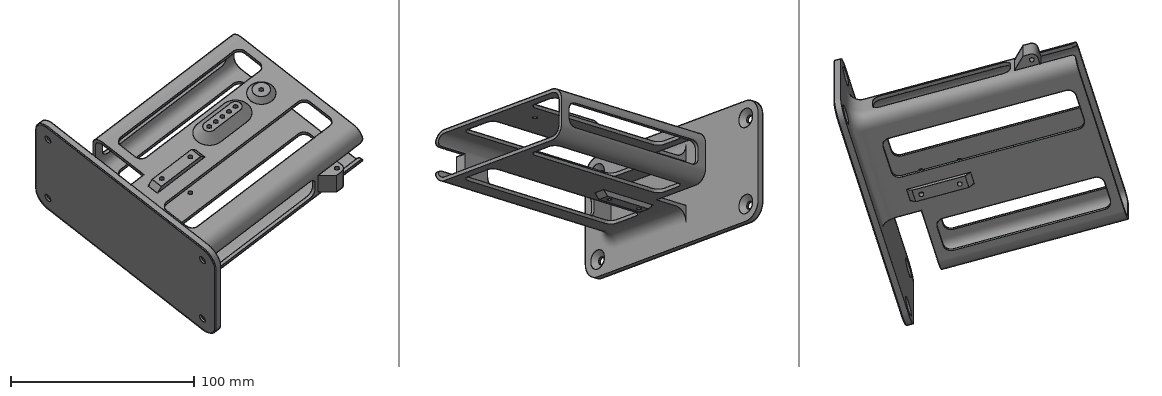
import cadquery as cq

plate_width = 140.0
plate_height = 70.0
plate_thickness = 4.0
plate_corner_radius = 10.0
plate_edge_chamfer = 0.5
plate_hole_diameter = 4.5
countersink_diameter = 11.0
countersink_angle = 100
plate_hole_spacing_x = 120.0
plate_hole_spacing_z = 50.0

sleeve_width = 102.5
sleeve_height = 29.7
sleeve_end = 132.0
sleeve_corner_radius = 7.7
wall = 2.1
root_fillet = 7.4

notch_right = -11.5
notch_end = 25.8

window_radius = 4.5
window_back = 126.4
window_margin = 5.5
left_window_left = -39.3
left_window_right = -19.3
right_window_left = 10.9
right_window_right = 35.1
right_window_front = 16.7
right_side_window_back = 95.0

gap_flare_radius = 3.0
tab_back = 111.9
tab_reach = 7.0
tab_corner_radius = 3.5
tab_flat_front = 104.5
tab_hole_diameter = 2.5

boss_x = -7.5
screw_hole_diameter = 2.5
round_boss_y = 111.9
round_boss_height = 3.1
round_boss_base_diameter = 16.0
round_boss_top_diameter = 10.1
long_boss_y = 82.0
long_boss_height = 5.3
long_boss_base_width = 17.9
long_boss_top_width = 7.1
long_boss_hole_count = 5
long_boss_hole_pitch = 5.0

rail_x = -0.5
rail_y = 39.9
rail_width = 7.1
rail_height = 3.1
rail_top_length = 30.2
rail_base_length = rail_top_length + 2 * rail_height
rail_hole_x = -0.8
rail_hole_spacing = 21.8
rail_hole_diameter = 2.5

sleeve_top = sleeve_height / 2
sleeve_right = sleeve_width / 2
straight_height = sleeve_height - 2 * sleeve_corner_radius
left_window_front = notch_end + window_margin


def box(x_min, x_max, y_min, y_max, z_min, z_max):
    size = (x_max - x_min, y_max - y_min, z_max - z_min)
    return cq.Workplane("XY").box(*size, centered=False).translate((x_min, y_min, z_min))


def rounded_bar(width, height, radius):
    """Rounded bar from the back of the plate to the end of the sleeve."""
    length = sleeve_end - plate_thickness
    bar = cq.Workplane("XY").box(width, length, height).edges("|Y").fillet(radius)
    return bar.translate((0, plate_thickness + length / 2, 0))


def make_plate():
    """Plate with a chamfered front rim and holes countersunk from behind."""
    plate = cq.Workplane("XY").box(plate_width, plate_thickness, plate_height)
    plate = plate.edges("|Y").fillet(plate_corner_radius)
    plate = plate.faces("<Y").edges().chamfer(plate_edge_chamfer)
    return (
        plate.faces(">Y").workplane(centerOption="CenterOfBoundBox")
        .rect(plate_hole_spacing_x, plate_hole_spacing_z, forConstruction=True)
        .vertices()
        .cskHole(plate_hole_diameter, countersink_diameter, countersink_angle)
        .translate((0, plate_thickness / 2, 0))
    )


def make_shell():
    """Plate and sleeve joined by an outer root fillet, hollowed and notched."""
    shell = make_plate().union(rounded_bar(sleeve_width, sleeve_height, sleeve_corner_radius))
    root_edges = cq.selectors.BoxSelector(
        (-sleeve_right - wall, plate_thickness - wall / 2, -sleeve_top - wall),
        (sleeve_right + wall, plate_thickness + wall / 2, sleeve_top + wall),
        boundingbox=True,
    )
    shell = shell.edges(root_edges).fillet(root_fillet)
    shell = shell.cut(
        rounded_bar(sleeve_width - 2 * wall, sleeve_height - 2 * wall, sleeve_corner_radius - wall)
    )
    notch = box(
        -plate_width / 2, notch_right, plate_thickness, notch_end, -plate_height / 2, plate_height / 2
    )
    return shell.cut(notch)


def vertical_window(x_min, x_max, y_min):
    """Cutter for a rounded window through the top and bottom walls."""
    cutter = box(x_min, x_max, y_min, window_back, -sleeve_height, sleeve_height)
    return cutter.edges("|Z").fillet(window_radius)


def side_window(x_centre, y_min, y_max):
    """Cutter for a window through one side wall, as tall as its flat part."""
    cutter = box(
        x_centre - 2 * wall, x_centre + 2 * wall, y_min, y_max, -straight_height / 2, straight_height / 2
    )
    return cutter.edges("|X").fillet(window_radius)


def rear_gap():
    """Cutter that opens the right wall behind the tab, flared at the sleeve end."""
    half = straight_height / 2
    flare_start = sleeve_end - gap_flare_radius
    return (
        cq.Workplane("YZ", origin=(sleeve_right - sleeve_corner_radius, 0, 0))
        .moveTo(tab_back, -half)
        .lineTo(flare_start, -half)
        .radiusArc((sleeve_end, -half - gap_flare_radius), gap_flare_radius)
        .lineTo(sleeve_end, half + gap_flare_radius)
        .radiusArc((flare_start, half), gap_flare_radius)
        .lineTo(tab_back, half)
        .close()
        .extrude(sleeve_corner_radius + wall)
    )


def make_tab():
    """Pin tab outside the right wall, as tall as the flat part of that wall."""
    x_root = sleeve_right - wall / 2
    x_tip = sleeve_right + tab_reach
    hole_x = x_tip - tab_corner_radius
    hole_y = tab_back - tab_corner_radius
    tab = (
        cq.Workplane("XY")
        .moveTo(x_root, tab_back)
        .lineTo(hole_x, tab_back)
        .radiusArc((x_tip, hole_y), tab_corner_radius)
        .lineTo(x_tip, tab_flat_front)
        .lineTo(x_root, tab_flat_front - (x_tip - x_root))
        .close()
        .extrude(straight_height / 2, both=True)
    )
    hole = (
        cq.Workplane("XY").center(hole_x, hole_y)
        .circle(tab_hole_diameter / 2)
        .extrude(straight_height, both=True)
    )
    return tab.cut(hole)


def make_round_boss():
    return (
        cq.Workplane("XY", origin=(boss_x, round_boss_y, sleeve_top))
        .circle(round_boss_base_diameter / 2)
        .workplane(offset=round_boss_height)
        .circle(round_boss_top_diameter / 2)
        .loft(ruled=True)
    )


def make_long_boss():
    straight = (long_boss_hole_count - 1) * long_boss_hole_pitch
    return (
        cq.Workplane("XY", origin=(boss_x, long_boss_y, sleeve_top))
        .slot2D(straight + long_boss_base_width, long_boss_base_width, 90)
        .workplane(offset=long_boss_height)
        .slot2D(straight + long_boss_top_width, long_boss_top_width, 90)
        .loft(ruled=True)
    )


def make_top_rail():
    return (
        cq.Workplane("YZ", origin=(rail_x, rail_y, sleeve_top))
        .moveTo(-rail_base_length / 2, 0)
        .lineTo(-rail_top_length / 2, rail_height)
        .lineTo(rail_top_length / 2, rail_height)
        .lineTo(rail_base_length / 2, 0)
        .close()
        .extrude(rail_width / 2, both=True)
    )


def make_screw_holes():
    """Cutters for the boss holes, through the top wall into the cavity."""
    first = -(long_boss_hole_count - 1) / 2
    points = [(boss_x, round_boss_y)]
    for i in range(long_boss_hole_count):
        points.append((boss_x, long_boss_y + (first + i) * long_boss_hole_pitch))
    return cq.Workplane("XY").pushPoints(points).circle(screw_hole_diameter / 2).extrude(sleeve_height)


def make_rail_holes():
    """Cutters for the rail holes, through both rails and both walls."""
    points = [(rail_hole_x, rail_y + side * rail_hole_spacing / 2) for side in (-1, 1)]
    return (
        cq.Workplane("XY").pushPoints(points)
        .circle(rail_hole_diameter / 2)
        .extrude(sleeve_height, both=True)
    )


result = make_shell()

result = result.cut(vertical_window(left_window_left, left_window_right, left_window_front))
result = result.cut(vertical_window(right_window_left, right_window_right, right_window_front))
result = result.cut(side_window(-sleeve_right, left_window_front, window_back))
result = result.cut(side_window(sleeve_right, right_window_front, right_side_window_back))
result = result.cut(rear_gap())

top_rail = make_top_rail()
result = result.union(make_tab())
result = result.union(make_round_boss())
result = result.union(make_long_boss())
result = result.union(top_rail)
result = result.union(top_rail.mirror("XY"))

result = result.cut(make_screw_holes())
result = result.cut(make_rail_holes())